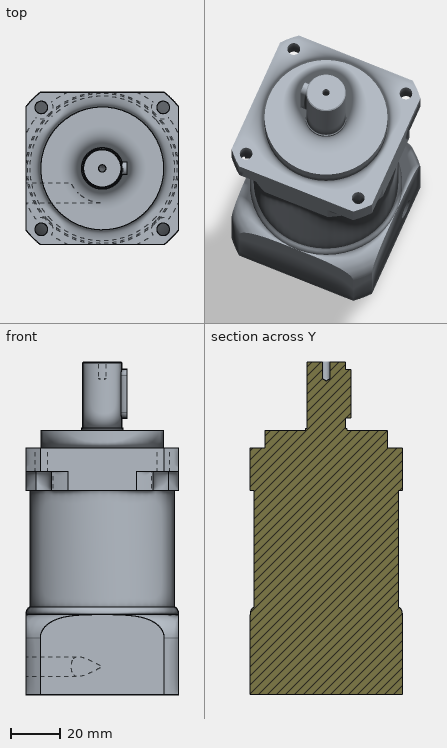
import cadquery as cq
import math


total_height = 135.5
square_side = 62.0
corner_diameter = 80.0

adapter_height = 32.7
shoulder_radius = 9.5

port_diameter = 8.0
port_y = -10.0
port_z = 11.5
hub_radius = port_diameter / 2 - port_y

housing_diameter = 59.0
lip_top = 36.2
lip_rounding = 3.0

flange_bottom = 83.0
flange_plate_bottom = 90.9
flange_top = 100.5
flange_boss_diameter = 68.0
bolt_spacing = 49.6
bolt_hole_diameter = 5.1
bolt_head_diameter = 9.5

pilot_diameter = 50.0
pilot_top = 107.6

shaft_diameter = 16.0
shaft_chamfer = 0.4
collar_diameter = 17.0
collar_height = 1.0
centre_hole_diameter = 3.0
centre_hole_depth = 6.8
drill_point_angle = 118.0

key_width = 5.0
key_length = 20.0
key_bottom = 112.5
key_outer_x = 10.2
key_height = 5.0


def cylinder(diameter, bottom, top):
    """Upright cylinder on the main axis between two heights."""
    return cq.Workplane("XY").workplane(offset=bottom).circle(diameter / 2).extrude(top - bottom)


def square_block(bottom, top):
    """Upright square block on the main axis between two heights."""
    return cq.Workplane("XY").workplane(offset=bottom).rect(square_side, square_side).extrude(top - bottom)


def bolt_cylinders(diameter, bottom, top):
    """Cylinders at the four bolt positions between two heights."""
    return (
        cq.Workplane("XY")
        .workplane(offset=bottom)
        .rect(bolt_spacing, bolt_spacing, forConstruction=True)
        .vertices()
        .circle(diameter / 2)
        .extrude(top - bottom)
    )


def make_adapter():
    turning = cylinder(corner_diameter, 0, adapter_height).faces(">Z").edges().fillet(shoulder_radius)
    adapter = square_block(0, adapter_height).intersect(turning)
    port = (
        cq.Workplane("YZ")
        .workplane(offset=-square_side / 2)
        .center(port_y, port_z)
        .circle(port_diameter / 2)
        .extrude(square_side / 2)
    )
    hub = cylinder(2 * hub_radius, 0, adapter_height)
    return adapter.cut(port.cut(hub))


def make_housing():
    housing = cylinder(housing_diameter, adapter_height, flange_bottom)
    lip = cylinder(square_side, adapter_height, lip_top).faces(">Z").edges().fillet(lip_rounding)
    return housing.union(lip)


def make_flange():
    plate = square_block(flange_plate_bottom, flange_top)
    plate = plate.intersect(cylinder(corner_diameter, flange_plate_bottom, flange_top))
    plate = plate.cut(bolt_cylinders(bolt_hole_diameter, flange_plate_bottom, flange_top))
    boss = square_block(flange_bottom, flange_plate_bottom)
    boss = boss.intersect(cylinder(flange_boss_diameter, flange_bottom, flange_plate_bottom))
    boss = boss.cut(bolt_cylinders(bolt_head_diameter, flange_bottom, flange_plate_bottom))
    pilot = cylinder(pilot_diameter, flange_top, pilot_top)
    return plate.union(boss).union(pilot)


def make_key():
    return (
        cq.Workplane("YZ")
        .workplane(offset=key_outer_x - key_height)
        .center(0, key_bottom + key_length / 2)
        .slot2D(key_length, key_width, 90)
        .extrude(key_height)
    )


def make_centre_hole():
    """Drilled hole in the shaft end with a conical bottom."""
    radius = centre_hole_diameter / 2
    point_depth = radius / math.tan(math.radians(drill_point_angle / 2))
    hole_bottom = total_height - centre_hole_depth
    return (
        cq.Workplane("XZ")
        .moveTo(0, total_height)
        .lineTo(radius, total_height)
        .lineTo(radius, hole_bottom)
        .lineTo(0, hole_bottom - point_depth)
        .close()
        .revolve(360, (0, 0), (0, 1))
    )


def make_shaft():
    shaft = cylinder(shaft_diameter, pilot_top, total_height).faces(">Z").edges().chamfer(shaft_chamfer)
    collar = cylinder(collar_diameter, pilot_top, pilot_top + collar_height)
    return shaft.union(collar).union(make_key()).cut(make_centre_hole())


result = make_adapter().union(make_housing()).union(make_flange()).union(make_shaft())